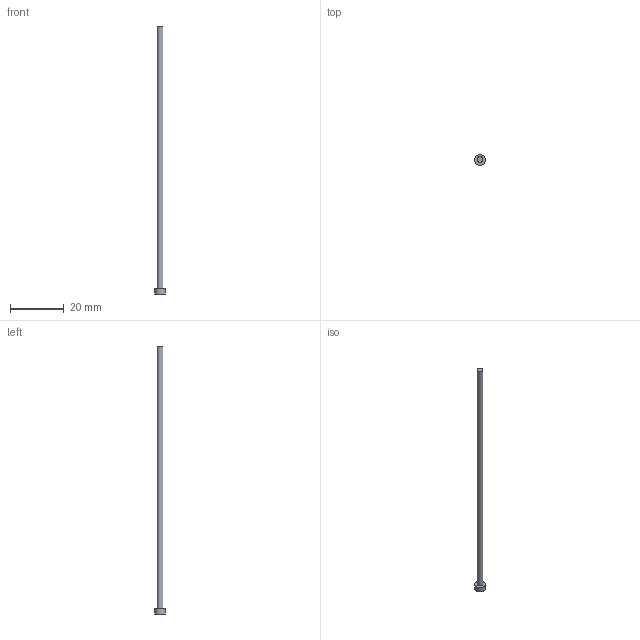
import cadquery as cq

total_length = 100.0
head_diameter = 4.0
head_height = 2.0
shank_diameter = 2.2

head = cq.Workplane("XY").circle(head_diameter / 2).extrude(head_height)
shank = cq.Workplane("XY").circle(shank_diameter / 2).extrude(total_length)

result = head.union(shank)